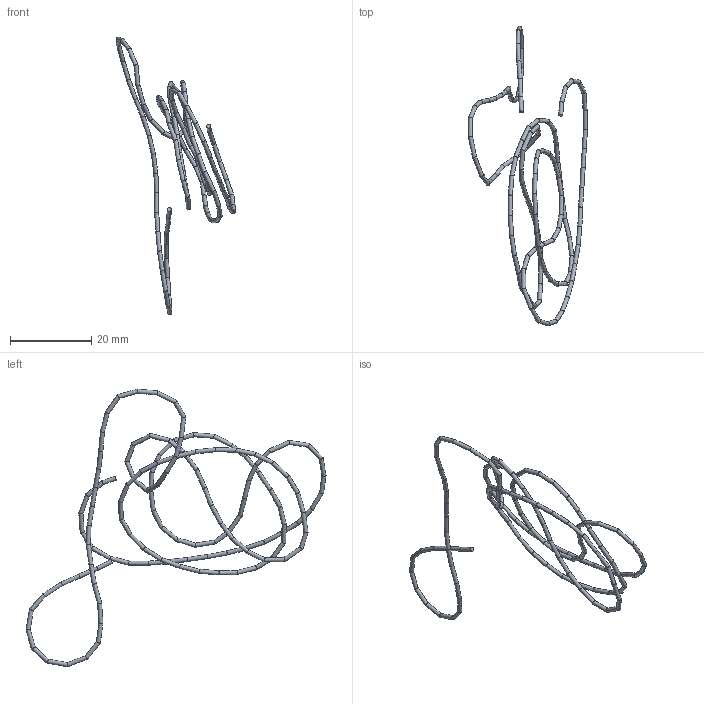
import cadquery as cq

WIRE_DIAMETER = 1.0

LOWER_LOOP = [
    (-1.6, 15.8, -8.1),
    (-1.7, 19.4, -9.8),
    (-1.9, 23.8, -11.7),
    (-2.2, 28.1, -13.6),
    (-2.4, 32.4, -16.4),
    (-2.3, 35.6, -20.0),
    (-2.0, 36.4, -24.9),
    (-1.7, 35.1, -29.4),
    (-1.5, 31.6, -32.6),
    (-1.5, 26.7, -33.5),
    (-1.9, 22.0, -31.7),
    (-2.5, 19.1, -28.0),
    (-3.3, 18.5, -23.2),
    (-4.0, 18.8, -18.4),
    (-4.4, 20.1, -13.6),
]

LONG_RISER = [
    (-4.7, 20.9, -8.9),
    (-4.7, 21.6, -3.9),
    (-4.9, 21.4, 0.8),
    (-5.5, 20.6, 5.6),
    (-6.6, 19.8, 10.2),
    (-8.1, 19.0, 14.8),
    (-9.9, 18.5, 19.1),
    (-11.7, 18.1, 23.9),
    (-13.0, 16.9, 28.5),
    (-14.1, 14.1, 32.5),
]

HIGH_ARCH = [
    (-14.1, 9.5, 33.8),
    (-13.1, 4.7, 33.4),
    (-11.4, 0.2, 31.2),
    (-9.8, -1.9, 27.4),
    (-9.3, -1.3, 22.5),
    (-8.0, 0.0, 17.8),
    (-6.2, 2.3, 14.0),
    (-3.2, 4.4, 10.9),
    (-0.1, 7.0, 9.3),
]

SMALL_HOOK = [
    (2.6, 10.3, 12.0),
    (2.4, 12.1, 16.5),
    (0.7, 10.5, 20.7),
    (-1.2, 6.3, 22.9),
    (-1.6, 1.7, 21.7),
    (-1.4, -1.8, 18.9),
]

CROSSING_DESCENT = [
    (-0.4, -5.0, 14.5),
    (0.4, -7.0, 10.1),
    (1.0, -8.7, 5.7),
    (1.8, -11.1, 1.3),
    (2.4, -13.8, -2.4),
    (3.0, -17.6, -5.6),
    (3.2, -21.8, -7.7),
    (3.1, -26.7, -7.6),
    (2.9, -30.8, -4.8),
    (1.8, -32.0, -0.9),
    (0.7, -31.3, 4.0),
]

LARGE_RING = [
    (0.0, -29.9, 8.8),
    (-1.6, -27.4, 12.9),
    (-2.3, -23.7, 16.2),
    (-3.3, -19.4, 18.3),
    (-4.0, -14.7, 19.3),
    (-4.3, -9.7, 19.4),
    (-4.3, -4.8, 18.9),
    (-3.9, 0.0, 17.7),
    (-3.0, 4.5, 16.2),
    (-1.4, 8.6, 14.0),
    (0.2, 11.9, 10.9),
    (2.4, 13.6, 6.7),
    (4.9, 13.5, 2.4),
    (6.5, 11.3, -1.4),
    (7.0, 7.9, -4.9),
    (7.4, 3.6, -7.6),
    (7.9, -0.9, -9.3),
    (8.5, -5.8, -10.5),
    (9.1, -10.5, -10.9),
    (10.2, -15.1, -10.8),
    (10.9, -19.8, -9.6),
    (10.5, -23.9, -7.1),
    (9.3, -26.5, -3.4),
    (7.1, -26.6, 1.1),
    (5.6, -25.6, 5.4),
    (4.1, -23.2, 9.6),
]

INNER_RING = [
    (3.1, -20.2, 14.0),
    (2.5, -17.1, 17.8),
    (2.2, -13.7, 20.5),
    (1.9, -9.3, 22.7),
    (1.7, -4.4, 23.1),
    (1.8, 0.4, 21.7),
    (2.1, 4.0, 18.2),
    (2.6, 5.9, 14.0),
    (3.7, 6.2, 9.3),
    (5.2, 5.6, 4.5),
    (6.6, 3.5, 0.3),
    (7.6, -0.2, -2.7),
    (8.3, -4.8, -4.1),
    (8.2, -9.6, -3.3),
    (7.6, -13.1, -0.7),
    (6.1, -15.8, 3.3),
    (3.6, -16.9, 7.6),
    (1.8, -18.0, 12.0),
    (0.0, -19.8, 15.8),
]

FAR_BEND = [
    (-1.0, -23.1, 19.1),
    (-1.0, -27.8, 21.2),
    (0.8, -32.5, 20.5),
    (2.7, -35.7, 17.3),
    (4.9, -36.4, 13.1),
    (6.8, -35.8, 8.8),
    (8.4, -33.4, 4.9),
    (9.7, -30.0, 1.4),
    (10.8, -26.0, -1.1),
    (11.6, -21.8, -3.3),
]

RETURN_RUN = [
    (12.4, -16.9, -4.9),
    (12.8, -12.6, -6.0),
    (13.0, -7.7, -6.9),
    (13.3, -2.8, -7.6),
    (13.6, 2.0, -8.2),
    (13.9, 6.7, -8.5),
    (14.2, 11.6, -8.5),
    (14.1, 16.2, -7.3),
    (13.8, 20.7, -4.7),
    (12.5, 23.1, -0.9),
    (10.8, 23.4, 3.8),
    (9.3, 21.8, 8.2),
    (8.3, 18.0, 11.3),
    (8.1, 14.9, 12.4),
]

WIRE_BENDS = (
    LOWER_LOOP
    + LONG_RISER
    + HIGH_ARCH
    + SMALL_HOOK
    + CROSSING_DESCENT
    + LARGE_RING
    + INNER_RING
    + FAR_BEND
    + RETURN_RUN
)


def wire_path(bends):
    """Centre line of the wire: straight lengths from bend to bend."""
    return cq.Wire.makePolygon([cq.Vector(*bend) for bend in bends])


def wire_section(bends, diameter):
    """Round cross-section at the first end, square to the first straight length."""
    first_end = cq.Vector(*bends[0])
    first_direction = cq.Vector(*bends[1]) - first_end
    end_plane = cq.Plane(origin=first_end, normal=first_direction)
    return cq.Workplane(end_plane).circle(diameter / 2)


def bent_wire(bends, diameter):
    """Solid wire along the bends, with a sharp mitre at each one."""
    return wire_section(bends, diameter).sweep(wire_path(bends), transition="right")


result = bent_wire(WIRE_BENDS, WIRE_DIAMETER)